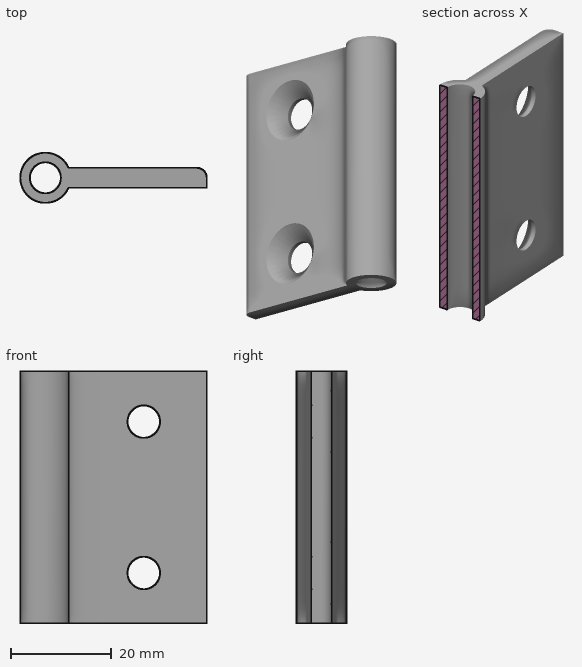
import cadquery as cq
import math

height = 50.0
barrel_diameter = 10.0
bore_diameter = 6.1
overall_width = 37.0
leaf_thickness = 4.0
edge_radius = 2.0

hole_diameter = 6.4
hole_x = 19.5
hole_spacing = 30.0
hole_land = 1.0
countersink_angle = 90.0

leaf_end_x = overall_width - barrel_diameter / 2
countersink_depth = leaf_thickness - hole_land
countersink_flare = countersink_depth * math.tan(math.radians(countersink_angle / 2))
countersink_diameter = hole_diameter + 2 * countersink_flare


def make_barrel():
    return cq.Workplane("XY").circle(barrel_diameter / 2).extrude(height)


def make_leaf():
    """Plate from the barrel axis to the free end, rounded on its +Y free edge."""
    plate = cq.Workplane("XY").box(
        leaf_end_x, leaf_thickness, height, centered=(False, True, False)
    )
    return plate.edges("|Z and >X and >Y").fillet(edge_radius)


def make_bore():
    return cq.Workplane("XY").circle(bore_diameter / 2).extrude(height)


def make_screw_hole(z):
    """Cutter for a through hole with a countersink opening on the +Y face."""
    through_hole = (
        cq.Workplane("XZ", origin=(hole_x, leaf_thickness / 2, z))
        .circle(hole_diameter / 2)
        .extrude(leaf_thickness)
    )
    countersink = cq.Solid.makeCone(
        countersink_diameter / 2,
        hole_diameter / 2,
        countersink_depth,
        pnt=cq.Vector(hole_x, leaf_thickness / 2, z),
        dir=cq.Vector(0, -1, 0),
    )
    return through_hole.union(cq.Workplane(obj=countersink))


result = make_barrel().union(make_leaf()).cut(make_bore())
for side in (-1, 1):
    result = result.cut(make_screw_hole(height / 2 + side * hole_spacing / 2))